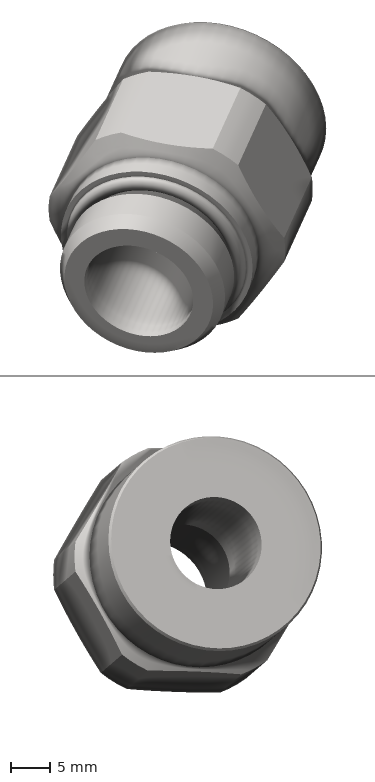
import cadquery as cq
import math


LENGTH = 39.2

SPIGOT_RADIUS = 22.0 / 2
NECK_RADIUS = 19.8 / 2
LEAD_IN_LENGTH = 1.75
SPIGOT_END = 6.08
NECK_START = SPIGOT_END + (SPIGOT_RADIUS - NECK_RADIUS)

COLLAR_RADIUS = 25.5 / 2
COLLAR_FRONT = 8.45
COLLAR_BACK = 11.5
SEAL_OUTER_RADIUS = 12.0
SEAL_FRONT = 7.6

HEX_ACROSS_FLATS = 29.0
HEX_CORNER_RADIUS = 31.48 / 2
HEX_BACK = 27.25
CONE_SLOPE = math.tan(math.radians(30))

BARREL_RADIUS = 28.0 / 2
BARREL_CHAMFER_LENGTH = 0.45
BARREL_CHAMFER_DEPTH = 0.27

BORE_DIAMETER = 12.0
WIDE_BORE_DIAMETER = 14.5
WIDE_BORE_DEPTH = LENGTH / 2


def revolve_about_y(profile):
    """Turn a closed (radius, y) outline into a solid of revolution about Y."""
    return cq.Workplane("XY").polyline(profile).close().revolve(360, (0, 0, 0), (0, 1, 0))


def cylinder_along_y(diameter, length):
    """Cylinder on the Y axis, starting at the front face."""
    return cq.Workplane("XZ").circle(diameter / 2).extrude(-length)


def turned_body():
    """Spigot, neck and collar in front of the hexagon and the barrel running back from it."""
    return revolve_about_y([
        (0, 0),
        (NECK_RADIUS, 0),
        (SPIGOT_RADIUS, LEAD_IN_LENGTH),
        (SPIGOT_RADIUS, SPIGOT_END),
        (NECK_RADIUS, NECK_START),
        (NECK_RADIUS, COLLAR_FRONT),
        (COLLAR_RADIUS, COLLAR_FRONT),
        (COLLAR_RADIUS, COLLAR_BACK),
        (BARREL_RADIUS, COLLAR_BACK + (BARREL_RADIUS - COLLAR_RADIUS) * CONE_SLOPE),
        (BARREL_RADIUS, LENGTH - BARREL_CHAMFER_LENGTH),
        (BARREL_RADIUS - BARREL_CHAMFER_DEPTH, LENGTH),
        (0, LENGTH),
    ])


def hexagon():
    """Hexagonal prism with flats at top and bottom, trimmed by a turned double cone."""
    prism = (
        cq.Workplane("XZ", origin=(0, COLLAR_BACK, 0))
        .polygon(6, HEX_ACROSS_FLATS / math.cos(math.pi / 6))
        .extrude(COLLAR_BACK - HEX_BACK)
    )
    front_cone = (HEX_CORNER_RADIUS - COLLAR_RADIUS) * CONE_SLOPE
    back_cone = (HEX_CORNER_RADIUS - BARREL_RADIUS) * CONE_SLOPE
    envelope = revolve_about_y([
        (0, COLLAR_BACK),
        (COLLAR_RADIUS, COLLAR_BACK),
        (HEX_CORNER_RADIUS, COLLAR_BACK + front_cone),
        (HEX_CORNER_RADIUS, HEX_BACK - back_cone),
        (BARREL_RADIUS, HEX_BACK),
        (0, HEX_BACK),
    ])
    return prism.intersect(envelope)


def sealing_ring():
    """Round-section ring on the neck, half sunk into the front face of the collar."""
    section_radius = (SEAL_OUTER_RADIUS - NECK_RADIUS) / 2
    center_radius = NECK_RADIUS + section_radius
    center_y = SEAL_FRONT + section_radius
    section = cq.Workplane("XY").moveTo(center_radius, center_y).circle(section_radius)
    return section.revolve(360, (0, 0, 0), (0, 1, 0))


bore = cylinder_along_y(BORE_DIAMETER, LENGTH)
wide_bore = cylinder_along_y(WIDE_BORE_DIAMETER, WIDE_BORE_DEPTH)

result = turned_body().union(hexagon()).union(sealing_ring()).cut(bore).cut(wide_bore)